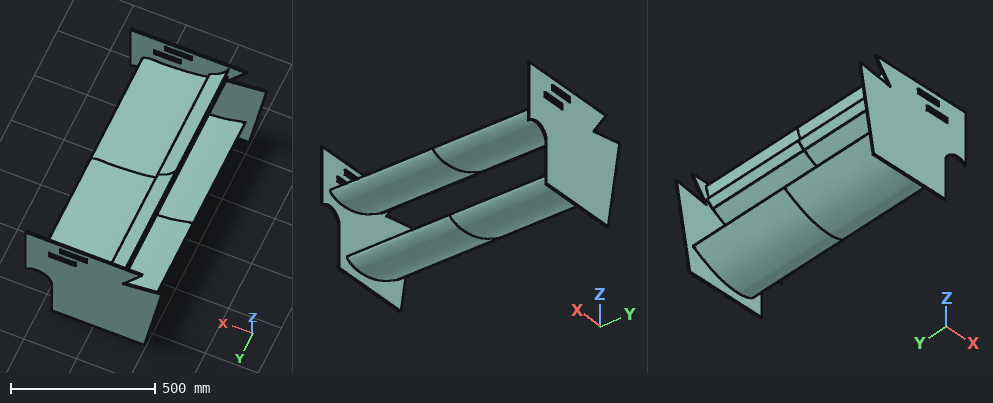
import cadquery as cq
import math

overall_length = 910.0
overall_width = 516.0
overall_height = 450.0

plate_thickness = 6.0
plate_foot_front = 417.0
plate_foot_back = 65.5
plate_tail_height = 375.0
plate_top_back = 75.5
notch_tip = (146.5, 350.0)
arch_radius = 60.0
arch_center_x = 475.0
arch_top = 227.5
slot_length = 101.0
slot_height = 20.0
slot_corners = [(283.0, 401.0), (326.0, 351.0)]

half_span = overall_length / 2 - plate_thickness
trailing_edge_thickness = 2.0

wing_chord = 295.0
wing_depth = 83.0
wing_nose_depth = 57.0
lower_trailing_edge = (79.0, 125.0)
main_trailing_edge = (176.0, 349.0)

flap_chord = 73.0
flap_depth = 85.0
flap_nose_depth = 81.0
flap_trailing_edge = (143.0, 432.0)

strip_rise = 27.0
strip_thickness = 3.0

wing_upper_points = [(47.0, -18.0), (98.0, -32.0), (164.0, -39.0), (237.0, -43.0), (278.5, -45.0)]
wing_lower_points = [(268.0, -75.5), (155.0, -75.0), (73.0, -44.0)]
wing_lowest_x = 218.0
flap_upper_points = [(9.0, -20.0), (20.0, -35.5), (41.0, -57.0), (64.0, -72.0)]
flap_lower_points = [(41.0, -70.0), (20.0, -49.0), (7.0, -27.0)]
flap_lowest_x = 64.0


def end_plate(inner_y, outward):
    """Plate starting at inner_y and growing outward (+1 or -1 along Y)."""
    def arch_z(x):
        return arch_top - arch_radius + math.sqrt(arch_radius**2 - (x - arch_center_x)**2)

    plate = (
        cq.Workplane("XZ", origin=(0, inner_y, 0))
        .moveTo(plate_foot_back, 0)
        .lineTo(plate_foot_front, 0)
        .lineTo(plate_foot_front, arch_z(plate_foot_front))
        .threePointArc((arch_center_x, arch_top), (overall_width, arch_z(overall_width)))
        .lineTo(overall_width, overall_height)
        .lineTo(plate_top_back, overall_height)
        .lineTo(*notch_tip)
        .lineTo(0, plate_tail_height)
        .close()
        .extrude(-outward * plate_thickness)
    )
    for x, z in slot_corners:
        slot = (
            cq.Workplane("XZ", origin=(0, inner_y, 0))
            .moveTo(x, z)
            .rect(slot_length, slot_height, centered=False)
            .extrude(-outward * plate_thickness)
        )
        plate = plate.cut(slot)
    return plate


def airfoil_half(trailing_edge, upper_points, nose, lower_points, start_y):
    """Half wing with a curved section and a thin blunt trailing edge."""
    return (
        cq.Workplane("XZ", origin=(trailing_edge[0], start_y, trailing_edge[1]))
        .moveTo(0, 0)
        .spline(upper_points + [nose] + lower_points + [(0, -trailing_edge_thickness)], includeCurrent=True)
        .close()
        .extrude(-half_span)
    )


def large_wing_half(trailing_edge, start_y):
    nose = (wing_chord, -wing_nose_depth)
    lowest = (wing_lowest_x, -wing_depth)
    lower_points = [wing_lower_points[0], lowest] + wing_lower_points[1:]
    return airfoil_half(trailing_edge, wing_upper_points, nose, lower_points, start_y)


def flap_half(start_y):
    nose = (flap_chord, -flap_nose_depth)
    lowest = (flap_lowest_x, -flap_depth)
    lower_points = [lowest] + flap_lower_points
    return airfoil_half(flap_trailing_edge, flap_upper_points, nose, lower_points, start_y)


def strip_half(start_y):
    offset = strip_thickness / math.sqrt(2)
    return (
        cq.Workplane("XZ", origin=(main_trailing_edge[0], start_y, main_trailing_edge[1]))
        .polyline([
            (0, 0),
            (-strip_rise, strip_rise),
            (-strip_rise - offset, strip_rise - offset),
            (-offset, -offset),
        ])
        .close()
        .extrude(-half_span)
    )


end_plates = [end_plate(side * half_span, side) for side in (-1, 1)]

half_starts = (-half_span, 0)
lower_wings = [large_wing_half(lower_trailing_edge, y) for y in half_starts]
main_wings = [large_wing_half(main_trailing_edge, y) for y in half_starts]
flaps = [flap_half(y) for y in half_starts]
strips = [strip_half(y) for y in half_starts]

bodies = end_plates + lower_wings + main_wings + flaps + strips
result = cq.Compound.makeCompound([body.val() for body in bodies])